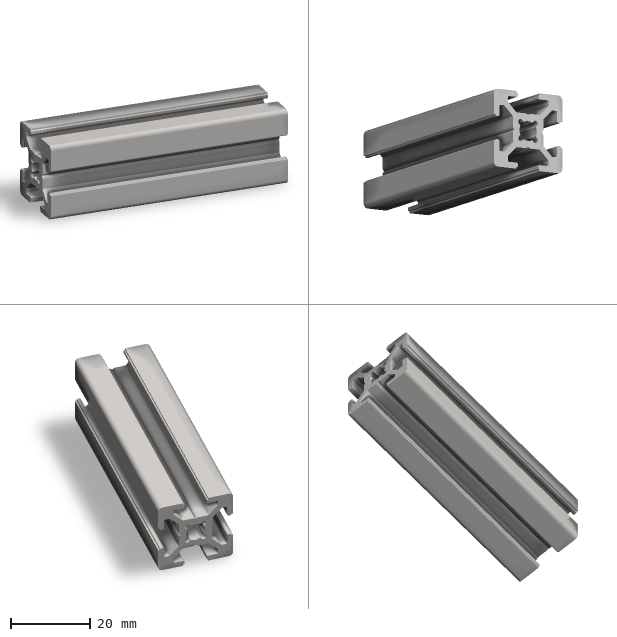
import cadquery as cq
import math

length = 65.0
side = 20.0
corner_radius = 1.2

slot_opening = 6.0
lip_thickness = 1.55
mouth_step_depth = 0.4
mouth_bevel_width = 0.4
mouth_bevel_drop = 0.2
lip_inner_radius = 0.3

cavity_width = 11.9
cavity_radius = 0.4
core_side = 9.0
web_thickness = 1.5

shoulder_width = 1.35
shoulder_depth = 0.16
groove_width = 0.5
groove_depth = 0.45

bore_radius = 2.55
relief_radius = 0.7
relief_offset = 2.15

half_side = side / 2
half_opening = slot_opening / 2
half_cavity = cavity_width / 2
half_core = core_side / 2
lip_inner = half_side - lip_thickness
web_shift = web_thickness / math.sqrt(2)


def extrude_along_bar(sketch):
    """Extrude a sketch on the XZ plane evenly to both sides of the origin."""
    return sketch.extrude(length / 2, both=True)


def fillet_long_edge(solid, x, z, radius):
    """Round the edge parallel to Y that passes through (x, z)."""
    edge = solid.edges("|Y").edges(cq.selectors.NearestToPointSelector((x, 0, z)))
    return edge.fillet(radius)


def make_slot():
    """Cutter for the T-slot in the +Z face, with its mouth, cavity and floor groove."""
    step_x = half_opening + mouth_bevel_width
    step_z = half_side - mouth_step_depth
    outline = (
        cq.Workplane("XZ")
        .moveTo(0, half_side)
        .lineTo(step_x, half_side)
        .lineTo(step_x, step_z)
        .lineTo(half_opening, step_z - mouth_bevel_drop)
        .lineTo(half_opening, lip_inner)
        .lineTo(half_cavity, lip_inner)
        .lineTo(half_cavity, half_cavity + web_shift)
        .lineTo(half_core - web_shift, half_core)
        .lineTo(shoulder_width / 2, half_core)
        .lineTo(groove_width / 2, half_core - shoulder_depth)
        .lineTo(0, half_core - groove_depth)
        .mirrorY()
    )
    slot = extrude_along_bar(outline)
    for sign in (-1, 1):
        slot = fillet_long_edge(slot, sign * half_cavity, lip_inner, cavity_radius)
        slot = fillet_long_edge(slot, sign * half_opening, lip_inner, lip_inner_radius)
    return slot


def make_bore():
    """Cutter for the central hole and its four diagonal reliefs."""
    bore = extrude_along_bar(cq.Workplane("XZ").circle(bore_radius))
    relief_span = 2 * relief_offset * math.sqrt(2)
    relief_length = relief_span + 2 * relief_radius
    for angle in (45, -45):
        relief = cq.Workplane("XZ").slot2D(relief_length, 2 * relief_radius, angle)
        bore = bore.union(extrude_along_bar(relief))
    return bore


bar = extrude_along_bar(cq.Workplane("XZ").rect(side, side)).edges("|Y").fillet(corner_radius)
slot_cutter = make_slot()
for quarter in range(4):
    bar = bar.cut(slot_cutter.rotate((0, 0, 0), (0, 1, 0), 90 * quarter))
result = bar.cut(make_bore())